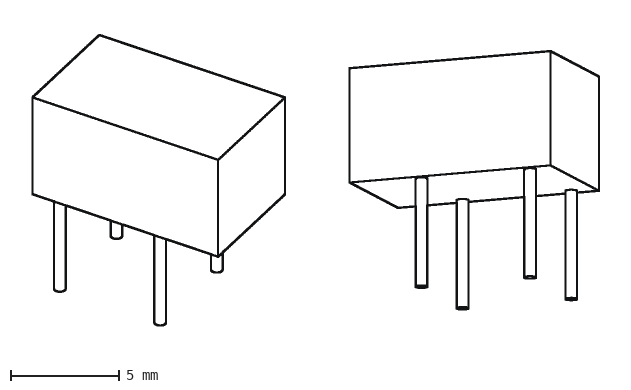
import cadquery as cq

housing_length = 10.0
housing_width = 6.0
housing_height = 5.4

overall_height = 10.5
pin_length = overall_height - housing_height
pin_diameter = 0.55
pin_spacing_x = 5.4
pin_spacing_y = 5.08
first_pin_inset = 1.2

first_pin_x = -housing_length / 2 + first_pin_inset
pin_columns = [first_pin_x, first_pin_x + pin_spacing_x]
pin_rows = [-pin_spacing_y / 2, pin_spacing_y / 2]


def make_housing():
    """Plain block standing on the XY plane, centred on the Z axis."""
    return cq.Workplane("XY").box(
        housing_length, housing_width, housing_height, centered=(True, True, False)
    )


def make_pin(x, y):
    """Round pin running down from the housing underside."""
    return cq.Workplane("XY").center(x, y).circle(pin_diameter / 2).extrude(-pin_length)


housing = make_housing()
pins = [make_pin(x, y) for x in pin_columns for y in pin_rows]

result = cq.Compound.makeCompound([housing.val(), *[pin.val() for pin in pins]])